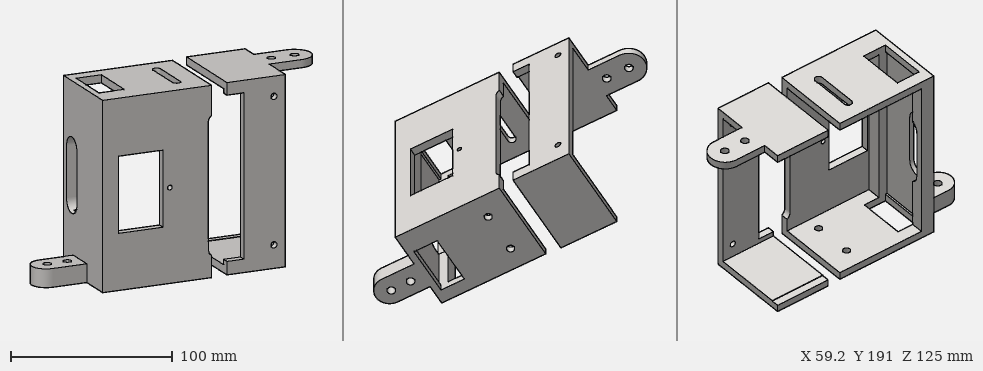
import cadquery as cq


overall_length = 191.0
body_height = 124.5
wall = 5.3
lug_hole_diameter = 5.3

housing_width = 57.5
housing_depth = 74.3
front_thickness = 9.7

front_slot_width = 15.0
front_slot_length = 49.5
front_slot_x = 12.2
front_slot_z = 63.4

shaft_left = 8.8
shaft_front = 4.5
shaft_width = 33.5
shaft_depth = 17.2
floor_shaft_depth = 16.6
thin_front_thickness = 3.2

floor_hole_diameter = 5.0
floor_hole_xs = (14.3, 42.0)
hole_row_y = 57.5
roof_slot_width = 5.3
roof_slot_left = 10.3
roof_slot_right = 44.7

side_window_front = 10.9
side_window_depth = 30.2
side_window_bottom = 37.0
side_window_height = 49.8
side_hole_diameter = 3.0
side_hole_y = 45.8
side_hole_z = 62.0

notch_depth = 2.3
notch_radius = 5.3
notch_bottom_center = 19.0
notch_top_center = 100.6

front_lug_width = 19.9
front_lug_height = 12.2
front_lug_x = 24.3
front_lug_hole_x = 23.9
front_lug_length = 33.0
front_lug_hole_ys = (-8.4, -22.2)

cover_left = -1.1
cover_width = 59.2
cover_front = 84.4
cover_depth = 40.0
cover_bottom = 0.5
cover_wall = 5.0

cover_notch_depth = 11.5
tab_bottom = 9.4
tab_top = 116.9
cover_hole_diameter = 4.0
cover_hole_y = 116.5
cover_hole_zs = (15.8, 111.9)
step_width = 5.3
step_drop = 0.4

rear_lug_width = 22.5
rear_lug_x = 23.0
rear_lug_hole_ys = (131.0, 146.8)

cover_rear = cover_front + cover_depth
cover_right = cover_left + cover_width
cover_top = cover_bottom + body_height
rear_lug_tip = overall_length - front_lug_length


def block(x, y, z, width, depth, height):
    """Box placed by its lower front left corner."""
    return cq.Workplane("XY").box(width, depth, height, centered=False).translate((x, y, z))


def upright_cylinder(x, y, bottom, diameter, height):
    return cq.Workplane("XY", origin=(x, y, bottom)).circle(diameter / 2).extrude(height)


def cross_cylinder(y, z, left, diameter, length):
    """Cylinder along X."""
    return cq.Workplane("YZ", origin=(left, y, z)).circle(diameter / 2).extrude(length)


def lug(x, root_y, tip_y, width, bottom, height, hole_x, hole_ys):
    """Flat tongue with a round end and drilled holes."""
    direction = 1 if tip_y > root_y else -1
    half_width = width / 2
    arc_y = tip_y - direction * half_width
    tongue = (
        cq.Workplane("XY", origin=(0, 0, bottom))
        .moveTo(x - half_width, root_y)
        .lineTo(x - half_width, arc_y)
        .threePointArc((x, tip_y), (x + half_width, arc_y))
        .lineTo(x + half_width, root_y)
        .close()
        .extrude(height)
    )
    for hole_y in hole_ys:
        tongue = tongue.cut(upright_cylinder(hole_x, hole_y, bottom, lug_hole_diameter, height))
    return tongue


def cut_front_slot(body):
    slot = (
        cq.Workplane("XZ", origin=(front_slot_x, 0, front_slot_z))
        .slot2D(front_slot_length, front_slot_width, 90)
        .extrude(-front_thickness)
    )
    return body.cut(slot)


def cut_shaft(body):
    """Rectangular opening through roof and floor, with a recess thinning the front wall."""
    upper = block(shaft_left, shaft_front, wall, shaft_width, shaft_depth, body_height - wall)
    lower = block(shaft_left, shaft_front, 0, shaft_width, floor_shaft_depth, wall)
    recess = block(
        shaft_left, thin_front_thickness, wall,
        shaft_width, front_thickness - thin_front_thickness, body_height - 2 * wall,
    )
    return body.cut(upper).cut(lower).cut(recess)


def cut_roof_and_floor_holes(body):
    slot_center = (roof_slot_left + roof_slot_right) / 2
    slot = (
        cq.Workplane("XY", origin=(slot_center, hole_row_y, body_height - wall))
        .slot2D(roof_slot_right - roof_slot_left, roof_slot_width)
        .extrude(wall)
    )
    body = body.cut(slot)
    for hole_x in floor_hole_xs:
        body = body.cut(upright_cylinder(hole_x, hole_row_y, 0, floor_hole_diameter, wall))
    return body


def cut_side_wall(body):
    """Window, small hole and shallow round-ended rear notch in the right wall."""
    inner_x = housing_width - wall
    window = block(
        inner_x, side_window_front, side_window_bottom, wall, side_window_depth, side_window_height
    )
    hole = cross_cylinder(side_hole_y, side_hole_z, inner_x, side_hole_diameter, wall)
    notch_center_y = housing_depth - notch_depth + notch_radius
    notch_length = notch_top_center - notch_bottom_center + 2 * notch_radius
    notch_center_z = (notch_top_center + notch_bottom_center) / 2
    notch = (
        cq.Workplane("YZ", origin=(inner_x, notch_center_y, notch_center_z))
        .slot2D(notch_length, 2 * notch_radius, 90)
        .extrude(wall)
    )
    return body.cut(window).cut(hole).cut(notch)


def make_housing():
    body = block(0, 0, 0, housing_width, housing_depth, body_height)
    cavity = block(
        0, front_thickness, wall,
        housing_width - wall, housing_depth - front_thickness, body_height - 2 * wall,
    )
    body = body.cut(cavity)
    body = cut_front_slot(body)
    body = cut_shaft(body)
    body = cut_roof_and_floor_holes(body)
    body = cut_side_wall(body)
    front_lug = lug(
        front_lug_x, 0, -front_lug_length, front_lug_width,
        0, front_lug_height, front_lug_hole_x, front_lug_hole_ys,
    )
    return body.union(front_lug)


def make_cover():
    inner_width = cover_width - cover_wall
    inner_right = cover_right - cover_wall
    body = block(cover_left, cover_front, cover_bottom, cover_width, cover_depth, body_height)
    cavity = block(
        cover_left, cover_front, cover_bottom + wall,
        inner_width, cover_depth, body_height - 2 * wall,
    )
    body = body.cut(cavity)

    notch = block(
        inner_right, cover_front, tab_bottom,
        cover_wall, cover_notch_depth, tab_top - tab_bottom,
    )
    body = body.cut(notch)
    for hole_z in cover_hole_zs:
        body = body.cut(
            cross_cylinder(cover_hole_y, hole_z, inner_right, cover_hole_diameter, cover_wall)
        )

    step_bottom = cover_bottom + wall - step_drop
    step = block(cover_left, cover_front, step_bottom, step_width, cover_depth, step_drop)
    body = body.cut(step)

    rear_lug = lug(
        rear_lug_x, cover_rear, rear_lug_tip, rear_lug_width,
        cover_top - wall, wall, rear_lug_x, rear_lug_hole_ys,
    )
    return body.union(rear_lug)


housing = make_housing()
cover = make_cover()
result = cq.Compound.makeCompound([housing.val(), cover.val()])